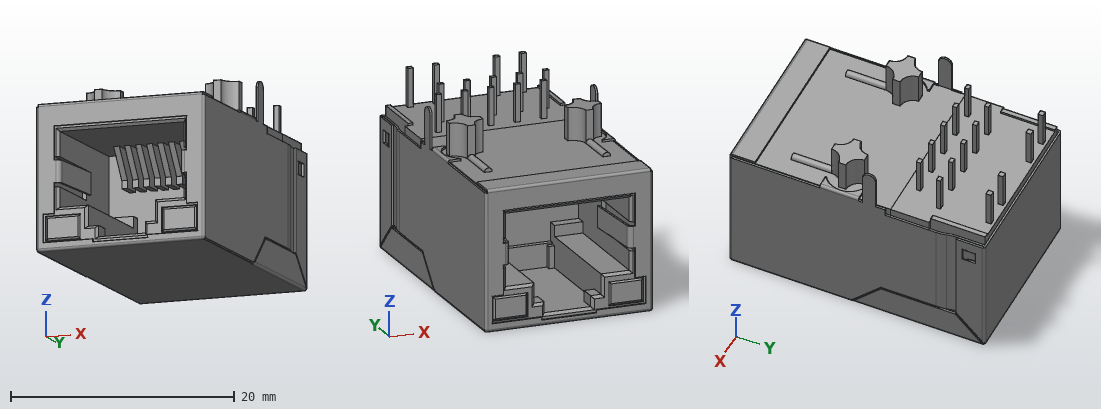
import cadquery as cq
import math


WIDTH = 16.2
LENGTH = 25.3
SHEET = 0.2
BEND = 0.25
SHIELD_TOP = 13.5
PEAK = 16.99

SIDE = WIDTH / 2
INNER_SIDE = SIDE - SHEET
INNER_REAR = LENGTH - SHEET
BODY_TOP = SHIELD_TOP - SHEET

WALL_TOP = 13.22
REAR_WALL_TOP = 12.54
REAR_STEP_Y = 15.45
FRONT_FLAP_LENGTH = 2.5
LIP_INSET = 0.1
LIP_HEIGHT = 0.15

GROUND_TAB_Y = 13.85
GROUND_TAB_WIDTH = 1.3
CLIP_FRONT = 8.97
CLIP_REAR = 12.8
CLIP_REACH = 1.25
CLIP_RELIEF_RADIUS = 2.1

WING_FRONT = 22.45
OFFSET_BEND_START = 20.5
WALL_OFFSET = 0.25
OFFSET_OUTER = SIDE - WALL_OFFSET
OFFSET_INNER = OFFSET_OUTER - SHEET
LATCH_FRONT, LATCH_REAR = 23.05, 24.37
LATCH_BOTTOM, LATCH_TOP = 10.27, 11.47
LATCH_RISE = 0.22
LATCH_FRONT_GAP = 0.1
LATCH_REAR_GAP = 0.2

FLANGE_TOP = 3.0
FLANGE_TOP_FRONT = 14.97
FLANGE_GAP = 0.15

WINDOW_HALF = 6.37
WINDOW_TOP = 11.39
LIGHT_WINDOW_HALF = 7.43
LIGHT_WINDOW_TOP = 3.39
WINDOW_BOTTOM = 0.8
SILL_HALF = 2.65
SILL_BOTTOM = 0.53

SPRING_BOTTOM, SPRING_TOP = 6.21, 8.27
SPRING_ROOT_X = 6.18
SPRING_RADIUS = 0.43
SPRING_TIP_X = 5.34
SPRING_TIP_Y = 6.5

CAVITY_HALF = 5.97
CAVITY_TOP = 10.93
LEDGE_Z = 4.0
LATCH_WAY_HALF = 3.24
SHELF_Z = 2.07
MOUTH_HALF = 2.24
FLOOR_Z = 1.04
MOUTH_CHAMFER = 0.26
SHELF_REAR = 2.0
CAVITY_REAR = 12.5
POCKET_MARGIN = 0.35
POCKET_REAR = 7.0

STEP_DEPTH = 1.0
SIDE_STEP_TOP = 5.07
FLOOR_STEP_DEPTH = 0.5
FLOOR_STEP_TOP = 3.29
CORNER_BLOCK_HALF = 2.69
CORNER_BLOCK_TOP = 3.14

CONTACT_COUNT = 8
CONTACT_PITCH = 1.053
CONTACT_WIDTH = 0.55
CONTACT_SLOPE_FRONT = 8.5
CONTACT_SLOPE_REAR = 10.5
CONTACT_NOSE_TOP = 8.18
CONTACT_BOTTOM = 7.45

POST_X = 5.715
POST_Y = 10.84
POST_TOP = 16.43
POST_REACH = 1.62
POST_ARM_WIDTH = 0.75
RIB_FRONT = 5.2

LIGHT_INNER_X, LIGHT_OUTER_X = 3.92, 7.27
LIGHT_BOTTOM, LIGHT_TOP = 0.95, 3.22
LIGHT_CHAMFER = 0.2
LIGHT_DEPTH = 3.0

INSERT_FRONT = 15.9
INSERT_STEP_Y = 19.72
INSERT_REAR_HALF = 7.58
RIDGE_WIDTH = 0.46
PIN_WIDTH = 0.5
PIN_PITCH = 2.54
SIGNAL_PIN_THICKNESS = 0.4
SIGNAL_PIN_TOP = 16.89
REAR_PIN_Y = 24.57
REAR_PIN_X = (2.93, 5.47)
SIGNAL_ROWS = ((-4.445, 19.72), (-5.715, 17.15))
SIGNAL_PINS_PER_ROW = 5


def block(x0, x1, y0, y1, z0, z1):
    return cq.Workplane("XY").box(x1 - x0, y1 - y0, z1 - z0, centered=False).translate((x0, y0, z0))


def both_sides(shape):
    """The shape on the +X side together with its mirror image."""
    return shape.union(shape.mirror("YZ"))


def mirrored_outline(half_points):
    """Closed outline from the points of its +X half, listed from top to bottom."""
    return half_points + [(-x, z) for x, z in reversed(half_points)]


def front_prism(points, y0, y1):
    """Prism along Y from an outline of (X, Z) points."""
    return cq.Workplane("XZ", origin=(0, y0, 0)).polyline(points).close().extrude(y0 - y1)


def plan_prism(outline, z0, z1):
    """Prism along Z from a closed outline drawn in plan."""
    return outline.extrude(z1 - z0).translate((0, 0, z0))


def side_prism(points, x0, x1):
    """Prism along X from an outline of (Y, Z) points."""
    return cq.Workplane("YZ", origin=(x0, 0, 0)).polyline(points).close().extrude(x1 - x0)


def flange_outline(inset):
    """Trapezoid of the side flange, moved inward by the inset."""
    drop = FLANGE_TOP - BEND
    top_shift = inset * (math.sqrt(2) - 1)
    foot_shift = inset * math.sqrt(2)
    return [
        (FLANGE_TOP_FRONT + top_shift, FLANGE_TOP - inset),
        (WING_FRONT - top_shift, FLANGE_TOP - inset),
        (WING_FRONT + drop - foot_shift, BEND),
        (FLANGE_TOP_FRONT - drop + foot_shift, BEND),
    ]


def offset_side_wall():
    """Side wall end that steps inward, behind the rear wing."""
    middle_y = (OFFSET_BEND_START + WING_FRONT) / 2
    half_run = middle_y - OFFSET_BEND_START
    half_step = WALL_OFFSET / 2
    radius = (half_run ** 2 + half_step ** 2) / (2 * half_step)
    quarter_y = half_run / 2
    sag = radius - math.sqrt(radius ** 2 - quarter_y ** 2)

    def s_curve(sketch, x, forward):
        outer_mid = (x - sag, OFFSET_BEND_START + quarter_y)
        inner_mid = (x - WALL_OFFSET + sag, WING_FRONT - quarter_y)
        middle = (x - half_step, middle_y)
        if forward:
            end = (x - WALL_OFFSET, WING_FRONT)
            return sketch.threePointArc(outer_mid, middle).threePointArc(inner_mid, end)
        end = (x, OFFSET_BEND_START)
        return sketch.threePointArc(inner_mid, middle).threePointArc(outer_mid, end)

    outline = cq.Workplane("XY").moveTo(SIDE, OFFSET_BEND_START)
    outline = s_curve(outline, SIDE, True)
    outline = outline.lineTo(OFFSET_OUTER, INNER_REAR).lineTo(OFFSET_INNER, INNER_REAR)
    outline = outline.lineTo(OFFSET_INNER, WING_FRONT)
    outline = s_curve(outline, INNER_SIDE, False)
    return plan_prism(outline.close(), FLANGE_TOP, REAR_WALL_TOP)


def wing_latch():
    """Ramp on the offset wall that rises towards the front inside the wing window."""
    ramp = (
        cq.Workplane("XY")
        .moveTo(OFFSET_INNER, LATCH_FRONT + LATCH_FRONT_GAP)
        .lineTo(OFFSET_OUTER + LATCH_RISE, LATCH_FRONT + LATCH_FRONT_GAP)
        .lineTo(OFFSET_OUTER, LATCH_REAR - LATCH_REAR_GAP)
        .lineTo(OFFSET_INNER, LATCH_REAR - LATCH_REAR_GAP)
        .close()
    )
    return plan_prism(ramp, LATCH_BOTTOM, LATCH_TOP)


def ground_tab():
    radius = GROUND_TAB_WIDTH / 2
    stem = block(INNER_SIDE, SIDE, GROUND_TAB_Y - radius, GROUND_TAB_Y + radius, REAR_WALL_TOP, PEAK - radius)
    tip = cq.Workplane("YZ", origin=(INNER_SIDE, GROUND_TAB_Y, PEAK - radius)).circle(radius).extrude(SHEET)
    return stem.union(tip)


def top_clip():
    """Clip folded onto the housing top, cut away round the locating post."""
    wall = block(INNER_SIDE, SIDE, CLIP_FRONT, CLIP_REAR, REAR_WALL_TOP, SHIELD_TOP)
    plate = block(SIDE - CLIP_REACH, SIDE, CLIP_FRONT, CLIP_REAR, BODY_TOP, SHIELD_TOP)
    relief = cq.Workplane("XY").center(POST_X, POST_Y).circle(CLIP_RELIEF_RADIUS)
    clip = wall.union(plate).edges("|Y and >X and >Z").fillet(BEND)
    return clip.cut(plan_prism(relief, BODY_TOP, SHIELD_TOP))


def contact_spring():
    """Spring strip bent in from the front plate and sloping towards the middle."""
    bend_x = SPRING_ROOT_X - SPRING_RADIUS
    inner_radius = SPRING_RADIUS - SHEET
    diagonal = math.sqrt(0.5)
    outer_mid = (bend_x + SPRING_RADIUS * (1 - diagonal), SPRING_RADIUS * (1 - diagonal))
    inner_mid = (SPRING_ROOT_X - inner_radius * diagonal, SPRING_RADIUS - inner_radius * diagonal)
    outline = (
        cq.Workplane("XY")
        .moveTo(WINDOW_HALF, 0)
        .lineTo(SPRING_ROOT_X, 0)
        .threePointArc(outer_mid, (bend_x, SPRING_RADIUS))
        .lineTo(SPRING_TIP_X, SPRING_TIP_Y)
        .lineTo(SPRING_TIP_X + SHEET, SPRING_TIP_Y)
        .lineTo(bend_x + SHEET, SPRING_RADIUS)
        .threePointArc(inner_mid, (SPRING_ROOT_X, SHEET))
        .lineTo(WINDOW_HALF, SHEET)
        .close()
    )
    return plan_prism(outline, SPRING_BOTTOM, SPRING_TOP)


def front_window():
    outline = mirrored_outline([
        (WINDOW_HALF, WINDOW_TOP),
        (WINDOW_HALF, LIGHT_WINDOW_TOP),
        (LIGHT_WINDOW_HALF, LIGHT_WINDOW_TOP),
        (LIGHT_WINDOW_HALF, WINDOW_BOTTOM),
        (SILL_HALF, WINDOW_BOTTOM),
        (SILL_HALF, SILL_BOTTOM),
    ])
    return front_prism(outline, 0, SHEET)


def make_shield():
    shell = block(-SIDE, SIDE, 0, LENGTH, 0, SHIELD_TOP)
    shell = shell.edges("|Z or <Z or (|X and <Y and >Z)").fillet(BEND)

    flange_front = FLANGE_TOP_FRONT - (FLANGE_TOP - BEND)
    square_wall = block(INNER_SIDE, SIDE, BEND, flange_front, LIP_HEIGHT, 2 * BEND)
    bottom_lip = block(SIDE - 2 * BEND, SIDE - LIP_INSET, BEND, flange_front, 0, 2 * BEND)
    shell = shell.union(both_sides(square_wall.union(bottom_lip)))
    shell = shell.cut(block(-INNER_SIDE, INNER_SIDE, SHEET, INNER_REAR, SHEET, BODY_TOP))

    shell = shell.cut(block(-SIDE, SIDE, FRONT_FLAP_LENGTH, LENGTH, WALL_TOP, SHIELD_TOP))
    shell = shell.cut(both_sides(block(INNER_SIDE, SIDE, 0, FRONT_FLAP_LENGTH, WALL_TOP, SHIELD_TOP)))
    shell = shell.cut(block(-SIDE, SIDE, REAR_STEP_Y, LENGTH, REAR_WALL_TOP, SHIELD_TOP))

    bend_space = block(INNER_SIDE, SIDE, OFFSET_BEND_START, WING_FRONT, FLANGE_TOP, REAR_WALL_TOP)
    latch_window = block(INNER_SIDE, SIDE, LATCH_FRONT, LATCH_REAR, LATCH_BOTTOM, LATCH_TOP)
    shell = shell.cut(both_sides(bend_space.union(latch_window)))
    backing = block(OFFSET_INNER, OFFSET_OUTER, WING_FRONT, INNER_REAR, SHEET, FLANGE_TOP)
    shell = shell.union(both_sides(offset_side_wall().union(backing).union(wing_latch())))

    gap = side_prism(flange_outline(0), INNER_SIDE, SIDE)
    gap = gap.cut(side_prism(flange_outline(FLANGE_GAP), INNER_SIDE, SIDE))
    shell = shell.cut(both_sides(gap))

    shell = shell.cut(front_window())
    for side_part in (ground_tab(), top_clip(), contact_spring()):
        shell = shell.union(both_sides(side_part))
    return shell


def cavity_outline(growth):
    return mirrored_outline([
        (CAVITY_HALF + growth, CAVITY_TOP + growth),
        (CAVITY_HALF + growth, LEDGE_Z - growth),
        (LATCH_WAY_HALF + growth, LEDGE_Z - growth),
        (LATCH_WAY_HALF + growth, SHELF_Z - growth),
        (MOUTH_HALF + growth, SHELF_Z - growth),
        (MOUTH_HALF + growth, FLOOR_Z - growth),
    ])


def plug_cavity():
    cavity = front_prism(cavity_outline(0), SHEET, CAVITY_REAR)
    latch_way = block(-LATCH_WAY_HALF, LATCH_WAY_HALF, SHELF_REAR, CAVITY_REAR, FLOOR_Z, LEDGE_Z)
    wide = cq.Workplane("XZ", origin=(0, SHEET, 0)).polyline(cavity_outline(MOUTH_CHAMFER)).close()
    mouth = (
        wide.workplane(offset=-MOUTH_CHAMFER)
        .polyline(cavity_outline(0)).close()
        .loft(ruled=True)
    )
    return cavity.union(latch_way).union(mouth)


def spring_pocket():
    return block(
        SPRING_TIP_X, WINDOW_HALF, SHEET, POCKET_REAR,
        SPRING_BOTTOM - POCKET_MARGIN, SPRING_TOP + POCKET_MARGIN,
    )


def cavity_steps():
    step_front = CAVITY_REAR - STEP_DEPTH
    side_step = block(LATCH_WAY_HALF, CAVITY_HALF, step_front, CAVITY_REAR, LEDGE_Z, SIDE_STEP_TOP)
    corner = block(CORNER_BLOCK_HALF, LATCH_WAY_HALF, step_front, CAVITY_REAR, FLOOR_Z, CORNER_BLOCK_TOP)
    floor_step = block(
        -LATCH_WAY_HALF, LATCH_WAY_HALF, CAVITY_REAR - FLOOR_STEP_DEPTH, CAVITY_REAR, FLOOR_Z, FLOOR_STEP_TOP,
    )
    return both_sides(side_step.union(corner)).union(floor_step)


def plug_contact(x):
    profile = [
        (CONTACT_SLOPE_FRONT, CAVITY_TOP),
        (CONTACT_SLOPE_REAR, CONTACT_NOSE_TOP),
        (CONTACT_SLOPE_REAR, CONTACT_BOTTOM),
        (CAVITY_REAR, CONTACT_BOTTOM),
        (CAVITY_REAR, CAVITY_TOP),
    ]
    return side_prism(profile, x - CONTACT_WIDTH / 2, x + CONTACT_WIDTH / 2)


def locating_post():
    """Cross-shaped post with concave flanks and a round rib running forward."""
    half_arm = POST_ARM_WIDTH / 2
    flank_radius = POST_REACH - half_arm
    square = cq.Workplane("XY").center(POST_X, POST_Y).rect(2 * POST_REACH, 2 * POST_REACH)
    flanks = (
        cq.Workplane("XY").center(POST_X, POST_Y)
        .rect(2 * POST_REACH, 2 * POST_REACH, forConstruction=True).vertices().circle(flank_radius)
    )
    post = plan_prism(square, BODY_TOP, POST_TOP).cut(plan_prism(flanks, BODY_TOP, POST_TOP))
    rib_end = cq.Workplane("XZ", origin=(POST_X, RIB_FRONT, BODY_TOP)).circle(half_arm)
    rib = rib_end.extrude(RIB_FRONT - POST_Y)
    return post.union(rib)


def light_block():
    return block(LIGHT_INNER_X, LIGHT_OUTER_X, SHEET, LIGHT_DEPTH, LIGHT_BOTTOM, LIGHT_TOP)


def make_housing():
    body = block(-INNER_SIDE, INNER_SIDE, SHEET, INSERT_FRONT, SHEET, BODY_TOP)
    body = body.cut(plug_cavity()).cut(both_sides(spring_pocket())).cut(both_sides(light_block()))
    body = body.union(cavity_steps()).union(both_sides(locating_post()))
    for i in range(CONTACT_COUNT):
        body = body.union(plug_contact((i - (CONTACT_COUNT - 1) / 2) * CONTACT_PITCH))
    return body


def make_light(side):
    light = light_block().faces("<Y").chamfer(LIGHT_CHAMFER)
    return light if side > 0 else light.mirror("YZ")


def pin(x, y, thickness, top):
    return block(x - PIN_WIDTH / 2, x + PIN_WIDTH / 2, y - thickness / 2, y + thickness / 2, BODY_TOP, top)


def make_insert():
    body = block(-INNER_SIDE, INNER_SIDE, INSERT_FRONT, INSERT_STEP_Y, SHEET, BODY_TOP)
    body = body.union(block(-INSERT_REAR_HALF, INSERT_REAR_HALF, INSERT_STEP_Y, INNER_REAR, SHEET, BODY_TOP))
    ridge = block(
        INSERT_REAR_HALF - RIDGE_WIDTH, INSERT_REAR_HALF, INSERT_STEP_Y, INNER_REAR, BODY_TOP, SHIELD_TOP,
    )
    body = body.union(both_sides(ridge))
    for x in REAR_PIN_X:
        body = body.union(both_sides(pin(x, REAR_PIN_Y, PIN_WIDTH, PEAK)))
    for first_x, row_y in SIGNAL_ROWS:
        for i in range(SIGNAL_PINS_PER_ROW):
            body = body.union(pin(first_x + i * PIN_PITCH, row_y, SIGNAL_PIN_THICKNESS, SIGNAL_PIN_TOP))
    return body


shield = make_shield()
housing = make_housing()
insert = make_insert()
lights = [make_light(side) for side in (-1, 1)]

result = cq.Compound.makeCompound([
    shield.val(),
    housing.val(),
    insert.val(),
    *[light.val() for light in lights],
])